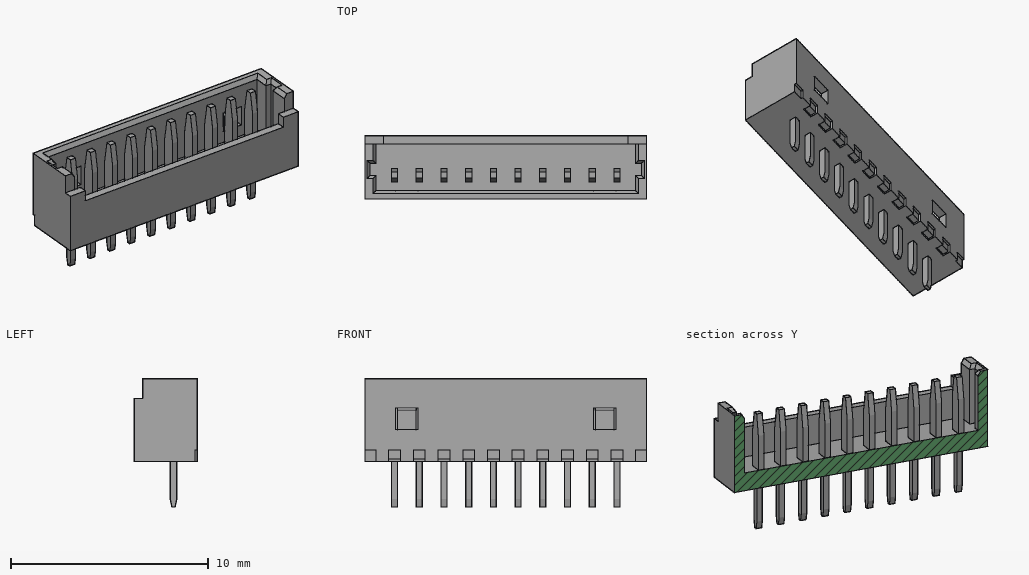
import cadquery as cq

length = 14.25
depth = 3.2
height = 4.2

end_wall = 0.57
front_wall = 0.43
back_wall = 0.43
floor = 1.0

key_slot_depth = 0.3
key_slot_front = 1.2
key_slot_width = 0.6

flare = 0.15
flare_height = 0.24

post_width = 0.94
post_drop = 1.0
opening_drop = 1.58

window_width = 1.13
window_height = 1.08
window_drop = 1.5
window_inset = 1.55

pin_count = 10
pin_row_span = 11.25
pin_thickness = 0.31
pin_y = 1.21
blade_width = 0.68
blade_tip_width = 0.3
blade_taper = 1.14
blade_top = 3.99
tail_width = 0.34
tail_tip_width = 0.17
tail_taper = 0.4
tail_length = 2.3

notch_width = 0.6
notch_height = 0.6
notch_depth = 0.11
end_notch_width = 0.55
groove_height = 0.13
groove_length = front_wall

pin_pitch = pin_row_span / (pin_count - 1)
first_pin_x = (length - pin_row_span) / 2
pin_xs = [first_pin_x + i * pin_pitch for i in range(pin_count)]


def block(x, y, z, dx, dy, dz):
    """Box with its lowest corner at (x, y, z)."""
    return cq.Workplane("XY").box(dx, dy, dz, centered=False).translate((x, y, z))


def cavity_section(z, growth=0.0):
    """Rectangle with a key slot at each end, at height z, grown outward all round."""
    right = length - end_wall + growth
    left = end_wall - growth
    front = front_wall - growth
    back = depth - back_wall + growth
    slot_front = key_slot_front - growth
    slot_back = key_slot_front + key_slot_width + growth
    points = [
        (left, front),
        (right, front),
        (right, slot_front),
        (right + key_slot_depth, slot_front),
        (right + key_slot_depth, slot_back),
        (right, slot_back),
        (right, back),
        (left, back),
        (left, slot_back),
        (left - key_slot_depth, slot_back),
        (left - key_slot_depth, slot_front),
        (left, slot_front),
    ]
    return cq.Wire.makePolygon([cq.Vector(x, y, z) for x, y in points], close=True)


def make_cavity():
    """Mating cavity with a flared mouth."""
    throat = cq.Solid.extrudeLinear(cavity_section(floor), [], cq.Vector(0, 0, height - floor))
    mouth = cq.Solid.makeLoft(
        [cavity_section(height - flare_height), cavity_section(height, flare)], True
    )
    return cq.Workplane(throat).union(cq.Workplane(mouth))


def make_pin(x):
    """Flat pin: a wide tapered blade above the floor, a narrow tapered tail below."""
    right_half = [
        (tail_tip_width / 2, -tail_length),
        (tail_width / 2, -tail_length + tail_taper),
        (tail_width / 2, floor),
        (blade_width / 2, floor),
        (blade_width / 2, blade_top - blade_taper),
        (blade_tip_width / 2, blade_top),
    ]
    left_half = [(-y, z) for y, z in reversed(right_half)]
    profile = cq.Workplane("YZ").polyline(right_half + left_half).close()
    return profile.extrude(pin_thickness).translate((x - pin_thickness / 2, pin_y, 0))


housing = block(0, 0, 0, length, depth, height).cut(make_cavity())

housing = housing.cut(block(0, depth - back_wall, height - post_drop, length, back_wall, post_drop))
opening_length = length - 2 * post_width
housing = housing.cut(
    block(post_width, depth - back_wall, height - opening_drop, opening_length, back_wall, opening_drop)
)

window_bottom = height - window_drop - window_height
for window_x in (window_inset, length - window_inset - window_width):
    housing = housing.cut(block(window_x, 0, window_bottom, window_width, front_wall, window_height))

for notch_x in (0, length - end_notch_width):
    housing = housing.cut(block(notch_x, 0, 0, end_notch_width, notch_depth, notch_height))

for pin_x in pin_xs:
    notch_x = pin_x - notch_width / 2
    housing = housing.cut(block(notch_x, 0, 0, notch_width, notch_depth, notch_height))
    housing = housing.cut(block(notch_x, 0, 0, notch_width, groove_length, groove_height))

result = housing
for pin_x in pin_xs:
    result = result.union(make_pin(pin_x))